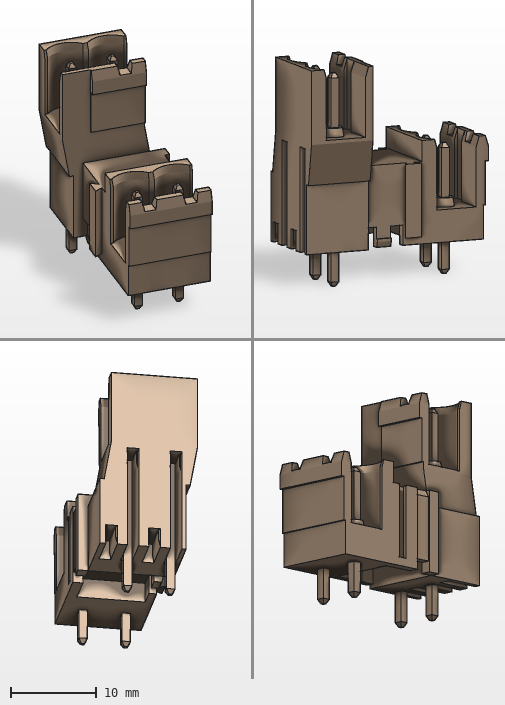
import cadquery as cq


pitch = 5.1
header_width = 10.18
header_depth = 7.85
wall_height = 8.35
recess_left = 1.9
recess_right = 6.9
pin_x = 3.92

low_offset_x = 15.25
tall_floor_z = 13.6
low_floor_z = 3.85
tall_front_y = -2.53

left_taper_run = 0.3
left_taper_height = 1.0
right_taper_run = 0.4
right_taper_height = 1.3

scallop_radius = recess_right - pin_x
scallop_flare = 0.25

lip_bottom = 0.15
lip_thickness = 0.23
catch_reach = 0.65
catch_bottom = 5.35
catch_taper = 0.42
tall_lip_front_y = 0.95

notch_depth = 1.1
notch_top_half = 0.91
notch_floor_half = 0.68
key_groove_width = 1.95

pin_size = 1.0
pin_tip_size = 0.4
pin_top = 7.46
pin_tip_length = 0.55
pin_bottom_z = -4.15
collar_height = 1.05
collar_base_radius = 1.25
collar_top_radius = 1.05

base_front_y = -1.17
shoulder_z = 8.25
slope_top_z = 13.15
shoulder_overhang = 0.5

middle_top_z = 9.74
cavity_height = 2.4
cavity_front_y = 0.91
cavity_back_y = 8.98

slot_width = 1.35
slot_rib_gap = 1.05
tall_slot_top = 12.45
tall_rib_bottom = 10.45
tall_rib_setback = 0.73
short_slot_top = 2.38
short_rib_bottom = 0.35
short_rib_setback = 0.23
rib_flare_height = 0.63

arm_left = 9.45
arm_right = 11.25
arm_gap_right = 12.8
snap_reach = 0.18
snap_top_z = 1.02
snap_edge_z = 0.65
groove_clearance = 0.08
groove_depth = 0.15
lead_in_depth = 0.57
lead_in_height = 0.78
window_top_z = 1.3

dovetail_x = 13.73
dovetail_bottom_z = 1.02
tongue_length = 0.97
tongue_neck = 0.95
tongue_end = 2.05
socket_depth = 1.02
socket_neck = 1.05
socket_end = 2.17


def box(x0, x1, y0, y1, z0, z1):
    return cq.Workplane("XY").box(x1 - x0, y1 - y0, z1 - z0, centered=False).translate((x0, y0, z0))


def extrude_along_y(points, y0, y1):
    """Prism along Y from a closed (x, z) outline."""
    return cq.Workplane("XZ", origin=(0, y0, 0)).polyline(points).close().extrude(y0 - y1)


def extrude_along_x(points, x0, x1):
    """Prism along X from a closed (y, z) outline."""
    return cq.Workplane("YZ", origin=(x0, 0, 0)).polyline(points).close().extrude(x1 - x0)


def pin_positions(front_y):
    middle = front_y + header_width / 2
    return [middle - pitch / 2, middle + pitch / 2]


def frustum(size0, size1, z0, z1):
    """Square frustum centred on the Z axis."""
    lower = cq.Workplane("XY", origin=(0, 0, z0)).rect(size0, size0)
    return lower.workplane(offset=z1 - z0).rect(size1, size1).loft(combine=True)


def cone(radius0, radius1, z0, z1):
    lower = cq.Workplane("XY", origin=(0, 0, z0)).circle(radius0)
    return lower.workplane(offset=z1 - z0).circle(radius1).loft(combine=True)


def header_walls(front_y, notch_ys, lip_front_y):
    """Two walls standing on z = 0, the left one scalloped and the right one with a latch lip."""
    back_y = front_y + header_width
    left_wall = extrude_along_y([
        (0, 0),
        (recess_left, 0),
        (recess_left, wall_height - left_taper_height),
        (recess_left - left_taper_run, wall_height),
        (0, wall_height),
    ], front_y, back_y)
    flare_start = wall_height - left_taper_height
    for y in pin_positions(front_y):
        bore = cone(scallop_radius, scallop_radius, 0, flare_start)
        flare = cone(scallop_radius, scallop_radius + scallop_flare, flare_start, wall_height)
        left_wall = left_wall.cut(bore.translate((pin_x, y, 0))).cut(flare.translate((pin_x, y, 0)))

    taper_z = wall_height - right_taper_height
    right_wall = extrude_along_y([
        (recess_right, 0),
        (header_depth, 0),
        (header_depth, wall_height),
        (recess_right + right_taper_run, wall_height),
        (recess_right, taper_z),
    ], front_y, back_y)
    catch_x = header_depth + catch_reach
    lip = extrude_along_y([
        (header_depth, lip_bottom),
        (header_depth + lip_thickness, lip_bottom),
        (header_depth + lip_thickness, catch_bottom),
        (catch_x, catch_bottom),
        (catch_x, taper_z),
        (catch_x - catch_taper, wall_height),
        (header_depth, wall_height),
    ], lip_front_y, back_y)
    right_wall = right_wall.union(lip)

    key_middle = front_y + header_width / 2
    right_wall = right_wall.cut(box(
        recess_right, recess_right + right_taper_run,
        key_middle - key_groove_width / 2, key_middle + key_groove_width / 2,
        0, wall_height,
    ))
    for y in notch_ys:
        right_wall = right_wall.cut(extrude_along_x([
            (y - notch_floor_half, wall_height - notch_depth),
            (y + notch_floor_half, wall_height - notch_depth),
            (y + notch_top_half, wall_height),
            (y - notch_top_half, wall_height),
        ], recess_right, catch_x))
    return left_wall.union(right_wall)


def contact_pin(floor_z):
    """Square pin with pyramid tips and a conical collar on the recess floor."""
    top_z = floor_z + pin_top
    shank_bottom = pin_bottom_z + pin_tip_length
    shank_top = top_z - pin_tip_length
    pin = frustum(pin_size, pin_size, shank_bottom, shank_top)
    pin = pin.union(frustum(pin_size, pin_tip_size, shank_top, top_z))
    pin = pin.union(frustum(pin_tip_size, pin_size, pin_bottom_z, shank_bottom))
    return pin.union(cone(collar_base_radius, collar_top_radius, floor_z, floor_z + collar_height))


def tall_block():
    """Foot with a head that leans forward above sloping shoulders."""
    base_back_y = base_front_y + header_width
    head_back_y = tall_front_y + header_width
    return extrude_along_x([
        (base_front_y, 0),
        (base_back_y, 0),
        (base_back_y, shoulder_z),
        (base_back_y - shoulder_overhang, shoulder_z),
        (head_back_y, slope_top_z),
        (head_back_y, tall_floor_z),
        (tall_front_y, tall_floor_z),
        (tall_front_y, slope_top_z),
        (base_front_y - shoulder_overhang, shoulder_z),
        (base_front_y, shoulder_z),
    ], 0, header_depth)


def ribbed_slot(y, top, rib_setback, rib_bottom):
    """Slot open at the bottom; ribs set back from the face narrow its upper part and flare below."""
    slot_half = slot_width / 2
    gap_half = slot_rib_gap / 2
    flare_top = rib_bottom + rib_flare_height
    mouth = box(0, rib_setback, y - slot_half, y + slot_half, 0, top)
    ribbed = extrude_along_x([
        (y - slot_half, 0),
        (y + slot_half, 0),
        (y + slot_half, rib_bottom),
        (y + gap_half, flare_top),
        (y + gap_half, top),
        (y - gap_half, top),
        (y - gap_half, flare_top),
        (y - slot_half, rib_bottom),
    ], 0, pin_x + pin_size / 2)
    return mouth.union(ribbed)


def dovetail(root_y, length, neck, end):
    """Trapezoid prism that widens from root_y toward -Y."""
    outline = [
        (dovetail_x - neck / 2, root_y),
        (dovetail_x - end / 2, root_y - length),
        (dovetail_x + end / 2, root_y - length),
        (dovetail_x + neck / 2, root_y),
    ]
    return (
        cq.Workplane("XY", origin=(0, 0, dovetail_bottom_z))
        .polyline(outline).close().extrude(middle_top_z - dovetail_bottom_z)
    )


def middle_block():
    """Bridge with a cavity below, a snap arm in front and a snap groove behind."""
    block = box(header_depth, low_offset_x, 0, header_width, 0, middle_top_z)
    block = block.cut(box(header_depth, low_offset_x, cavity_front_y, cavity_back_y, 0, cavity_height))
    for x0, x1 in [(header_depth, arm_left), (arm_right, arm_gap_right)]:
        block = block.cut(box(x0, x1, 0, cavity_front_y, 0, cavity_height))
    block = block.union(extrude_along_x([
        (0, 0),
        (-snap_reach, snap_edge_z),
        (-snap_reach, snap_top_z),
        (0, snap_top_z),
    ], arm_left, arm_right))

    groove_left = arm_left - groove_clearance
    groove_right = arm_right + groove_clearance
    groove_y = header_width - groove_depth
    block = block.cut(extrude_along_x([
        (header_width, 0),
        (groove_y, 0),
        (groove_y, middle_top_z - lead_in_height),
        (header_width - lead_in_depth, middle_top_z),
        (header_width, middle_top_z),
    ], groove_left, groove_right))
    block = block.cut(box(groove_left, groove_right, cavity_back_y, header_width, 0, window_top_z))

    block = block.union(dovetail(0, tongue_length, tongue_neck, tongue_end))
    return block.cut(dovetail(header_width, socket_depth, socket_neck, socket_end))


tall_pin_ys = pin_positions(tall_front_y)
low_pin_ys = pin_positions(0)

body = tall_block()
for y in tall_pin_ys:
    body = body.cut(ribbed_slot(y, tall_slot_top, tall_rib_setback, tall_rib_bottom))
for y in low_pin_ys:
    body = body.cut(ribbed_slot(y, short_slot_top, short_rib_setback, short_rib_bottom))
tall_walls = header_walls(tall_front_y, tall_pin_ys[1:], tall_lip_front_y)
body = body.union(tall_walls.translate((0, 0, tall_floor_z)))

body = body.union(middle_block())
body = body.union(box(low_offset_x, low_offset_x + header_depth, 0, header_width, 0, low_floor_z))
low_walls = header_walls(0, low_pin_ys, 0)
body = body.union(low_walls.translate((low_offset_x, 0, low_floor_z)))

for y in tall_pin_ys:
    body = body.union(contact_pin(tall_floor_z).translate((pin_x, y, 0)))
for y in low_pin_ys:
    body = body.union(contact_pin(low_floor_z).translate((low_offset_x + pin_x, y, 0)))

result = body